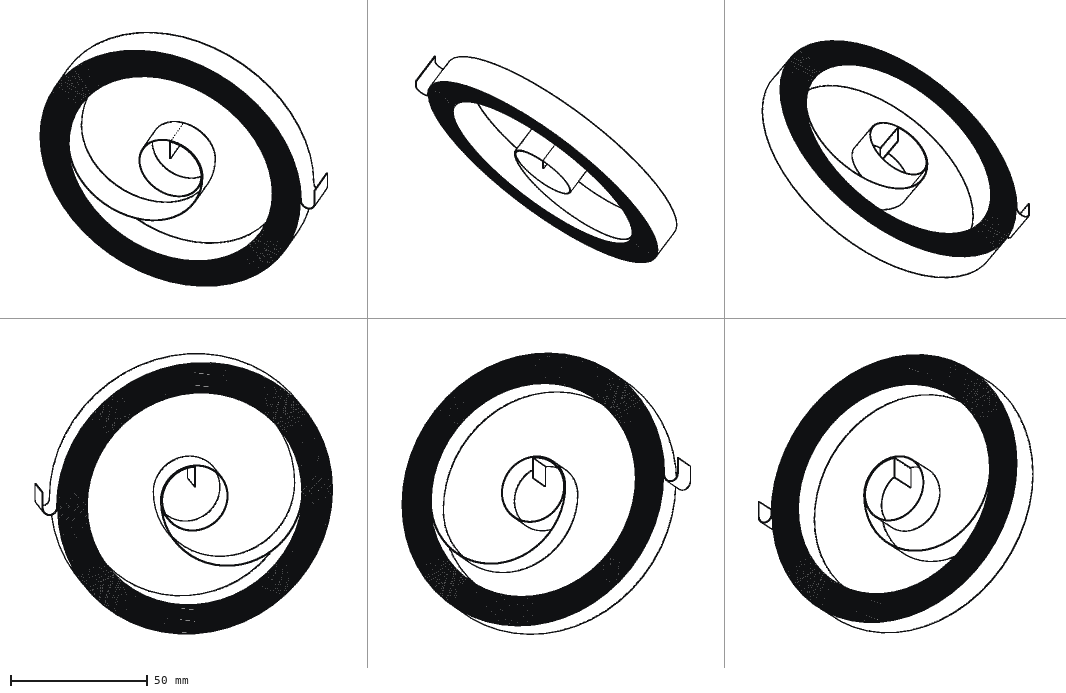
import cadquery as cq
import math

overall_length = 109.4
overall_height = 103.8
strip_width = 12.0

strip_thickness = 0.39
turn_gap = 0.0061
pitch = strip_thickness + turn_gap
lower_half_turns = 28
eye_inner_radius = 12.0

tab_tip_height = 4.5
hook_tip_height = 6.0

half_thickness = strip_thickness / 2
eye_radius = eye_inner_radius + half_thickness
eye_exit_radius = eye_radius + pitch
ring_outer_radius = overall_height / 2 + pitch / 4
ring_last_radius = ring_outer_radius - half_thickness
ring_first_radius = ring_last_radius - lower_half_turns * pitch
bridge_radius = (eye_exit_radius + ring_first_radius) / 2
hook_end_x = overall_length - ring_outer_radius - half_thickness
hook_radius = (hook_end_x - ring_last_radius) / 2

RIGHT, TOP, LEFT, BOTTOM = 0, 90, 180, 270


def bend(centre, radius, start, end):
    """One round stretch of the strip, given along its middle line."""
    return {"centre": centre, "radius": radius, "start": start, "end": end}


def eye_bends():
    """One clockwise turn from the tab, then a quarter turn lying over its start."""
    return [
        bend((0, 0), eye_radius, TOP, TOP - 180),
        bend((0, pitch / 2), eye_radius + pitch / 2, BOTTOM, BOTTOM - 180),
        bend((0, 0), eye_exit_radius, TOP, RIGHT),
    ]


def bridge_bends():
    """Half turn that leads from the eye to the inside of the ring."""
    return [bend((eye_exit_radius - bridge_radius, 0), bridge_radius, RIGHT, RIGHT - 180)]


def ring_bends():
    """Clockwise half turns, each half a pitch larger than the one before."""
    bends = []
    for turn in range(lower_half_turns):
        radius = ring_first_radius + turn * pitch
        bends.append(bend((0, 0), radius, LEFT, RIGHT))
        bends.append(bend((-pitch / 2, 0), radius + pitch / 2, RIGHT, RIGHT - 180))
    bends.append(bend((0, 0), ring_last_radius, LEFT, RIGHT))
    return bends


def hook_bends():
    """Counter-clockwise half turn under the outer end of the ring."""
    return [bend((ring_last_radius + hook_radius, 0), hook_radius, LEFT, LEFT + 180)]


def side_point(piece, angle, offset):
    """Point on one face of a bend; the offset is positive to the left of travel."""
    clockwise = piece["end"] < piece["start"]
    radius = piece["radius"] + (offset if clockwise else -offset)
    x, z = piece["centre"]
    turn = math.radians(angle)
    return (x + radius * math.cos(turn), z + radius * math.sin(turn))


def draw_side(outline, bends, offset, backwards=False):
    """Add an arc for every bend along one face of the strip."""
    for piece in reversed(bends) if backwards else bends:
        middle = (piece["start"] + piece["end"]) / 2
        end = piece["start"] if backwards else piece["end"]
        outline = outline.threePointArc(
            side_point(piece, middle, offset), side_point(piece, end, offset)
        )
    return outline


def coiled_strip():
    """Strip from the start of the eye to the tip of the hook."""
    bends = eye_bends() + bridge_bends() + ring_bends() + hook_bends()
    start = side_point(bends[0], bends[0]["start"], half_thickness)
    outline = cq.Workplane("XZ").moveTo(*start)
    outline = draw_side(outline, bends, half_thickness)
    outline = outline.lineTo(hook_end_x - half_thickness, hook_tip_height)
    outline = outline.lineTo(hook_end_x + half_thickness, hook_tip_height)
    outline = outline.lineTo(hook_end_x + half_thickness, 0)
    outline = draw_side(outline, bends, -half_thickness, backwards=True)
    return outline.close().extrude(strip_width / 2, both=True)


def eye_tab():
    """Straight end of the strip, bent down into the eye."""
    return (
        cq.Workplane("XZ")
        .moveTo(-strip_thickness, tab_tip_height)
        .lineTo(0, tab_tip_height)
        .lineTo(0, eye_radius)
        .lineTo(-strip_thickness, eye_radius)
        .close()
        .extrude(strip_width / 2, both=True)
    )


result = coiled_strip().union(eye_tab())